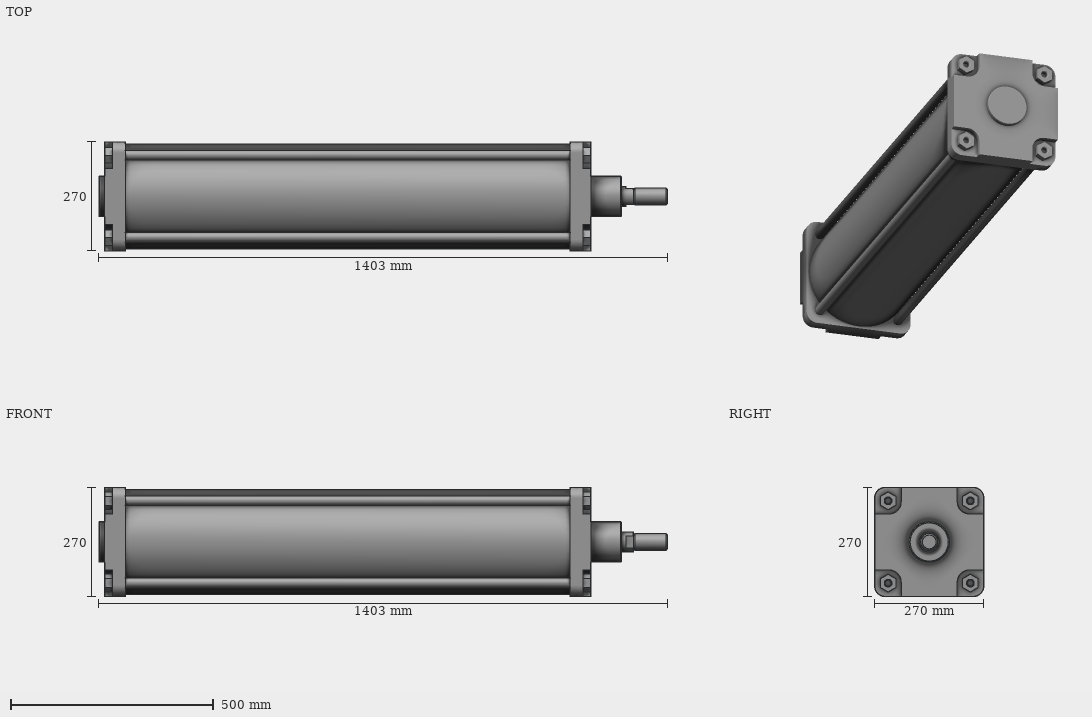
import cadquery as cq
import math


body_length = 1200.0
cap_size = 270.0
cap_thickness = 51.0
cap_corner_radius = 27.0
barrel_diameter = 260.0

recess_size = 66.0
recess_depth = 19.0
recess_radius = 31.0

boss_diameter = 100.0
rear_boss_length = 14.0
nose_length = 76.0
nose_chamfer = 3.0
rear_boss_chamfer = 1.0

rod_diameter = 50.0
rod_projection = 105.0
thread_diameter = 42.0
thread_length = 84.0
thread_chamfer = 4.0
flat_width = 40.0
flat_length = 19.0

tie_spacing = 203.0
tie_diameter = 24.0
nut_across_flats = 38.0
nut_height = 18.5
socket_diameter = 15.0
socket_depth = 15.0
socket_chamfer = 2.0

front_inner_x = body_length - cap_thickness
nose_end_x = body_length + nose_length
shoulder_x = body_length + rod_projection
rod_end_x = shoulder_x + thread_length
half_size = cap_size / 2
tie_offset = tie_spacing / 2
tie_points = [(y, z) for y in (-tie_offset, tie_offset) for z in (-tie_offset, tie_offset)]
nut_across_corners = nut_across_flats / math.cos(math.radians(30))


def section_at(x):
    """YZ workplane at x, extruding toward +X."""
    return cq.Workplane("YZ", origin=(x, 0, 0))


def cylinder(x_start, x_end, diameter):
    return section_at(x_start).circle(diameter / 2).extrude(x_end - x_start)


def make_cap(inner_x, outward):
    """Square cap whose outer face, on the outward (+1 or -1) side, has a recess in each corner."""
    outer_x = inner_x + outward * cap_thickness
    cap = section_at(inner_x).rect(cap_size, cap_size).extrude(outward * cap_thickness)
    cap = cap.edges("|X").fillet(cap_corner_radius)

    recess_center = half_size - recess_size / 2
    for y_side in (-1, 1):
        for z_side in (-1, 1):
            recess = (
                section_at(outer_x)
                .center(y_side * recess_center, z_side * recess_center)
                .rect(recess_size, recess_size)
                .extrude(-outward * recess_depth)
            )
            inner_y = "<Y" if y_side > 0 else ">Y"
            inner_z = "<Z" if z_side > 0 else ">Z"
            recess = recess.faces(inner_y).edges(inner_z).fillet(recess_radius)
            cap = cap.cut(recess)

    tie_holes = section_at(inner_x).pushPoints(tie_points).circle(tie_diameter / 2)
    return cap.cut(tie_holes.extrude(outward * cap_thickness))


def make_rear_cap():
    boss = cylinder(-rear_boss_length, 0, boss_diameter).faces("<X").chamfer(rear_boss_chamfer)
    return make_cap(cap_thickness, -1).union(boss)


def make_front_cap():
    nose = cylinder(body_length, nose_end_x, boss_diameter).faces(">X").chamfer(nose_chamfer)
    rod_bore = cylinder(front_inner_x, nose_end_x, rod_diameter)
    return make_cap(front_inner_x, 1).union(nose).cut(rod_bore)


def make_piston_rod():
    rod = cylinder(front_inner_x, shoulder_x, rod_diameter)
    for side in (-1, 1):
        flat_cut = cq.Workplane("XY").box(flat_length, rod_diameter, rod_diameter).translate(
            (shoulder_x - flat_length / 2, side * (flat_width + rod_diameter) / 2, 0)
        )
        rod = rod.cut(flat_cut)
    thread = cylinder(shoulder_x, rod_end_x, thread_diameter).faces("<X or >X").chamfer(thread_chamfer)
    return rod.union(thread)


def make_nut(seat_x, inward):
    """Hex nut on the recess floor, corners up and down, with a chamfered socket."""
    outer_x = seat_x - inward * nut_height
    nut = (
        section_at(outer_x)
        .transformed(rotate=(0, 0, 90))
        .polygon(6, nut_across_corners)
        .extrude(inward * nut_height)
    )
    socket = section_at(outer_x).circle(socket_diameter / 2).extrude(inward * socket_depth)
    nut = nut.cut(socket)
    return nut.faces("<X" if inward > 0 else ">X").edges("%CIRCLE").chamfer(socket_chamfer)


def make_tie_rod(y, z):
    rear_seat_x = recess_depth
    front_seat_x = body_length - recess_depth
    shaft = cylinder(rear_seat_x, front_seat_x, tie_diameter)
    tie_rod = shaft.union(make_nut(rear_seat_x, 1)).union(make_nut(front_seat_x, -1))
    return tie_rod.translate((0, y, z))


barrel = cylinder(cap_thickness, front_inner_x, barrel_diameter)
rear_cap = make_rear_cap()
front_cap = make_front_cap()
piston_rod = make_piston_rod()
tie_rods = [make_tie_rod(y, z) for y, z in tie_points]

result = cq.Compound.makeCompound(
    [
        barrel.val(),
        rear_cap.val(),
        front_cap.val(),
        piston_rod.val(),
        *[tie_rod.val() for tie_rod in tie_rods],
    ]
)